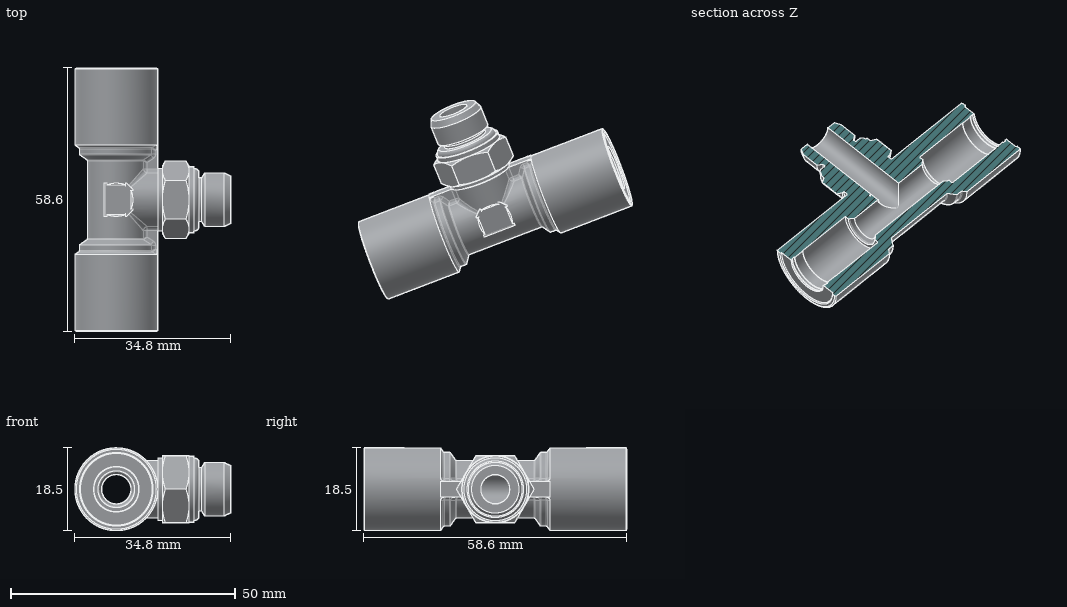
import cadquery as cq
import math

run_half_length = 29.3
tube_radius = 6.45
sleeve_radius = 9.25
sleeve_end_y = 12.2
sleeve_back_y = 11.5
sleeve_back_fillet = 0.35
collar_radius = 8.25
collar_edge_y = 10.05
collar_edge_fillet = 0.2
collar_foot_y = 8.8
collar_foot_fillet = 0.25
sleeve_rim_chamfer_length = 0.15
sleeve_rim_chamfer_width = 0.35

cap_recess_outer_radius = 8.2
cap_recess_radius = 8.0
cap_recess_depth = 0.3

run_bore_radius = 6.5 / 2
collet_radius = 5.0
collet_groove_radius = 10.3 / 2
collet_groove_start = 0.75
collet_groove_end = 1.5
collet_depth = 4.0
socket_radius = 10.15 / 2
socket_depth = 17.5
seat_mouth_radius = 8.2 / 2
seat_radius = 7.85 / 2
seat_chamfer_depth = 0.3
seat_cone_depth = 0.8

branch_radius = tube_radius
body_end_x = sleeve_radius

gusset_half_thickness = 1.75
gusset_fillet = 0.95

stud_collar_radius = 14 / 2
hex_start_x = 10.25
hex_end_x = 16.2
hex_across_flats = 15.0
hex_chamfer_angle = 30
washer_radius = 14.8 / 2
washer_end_x = 17.3
seal_radius = 7.0
seal_end_x = 18.4
seal_end_radius = 6.3
seal_round = 1.2
neck_radius = 9.8 / 2
neck_end_x = 19.0
thread_radius = 12 / 2
thread_start_x = 19.7
thread_chamfer_x = 24.0
stud_end_x = 25.5
stud_tip_radius = 10.6 / 2
branch_bore_radius = 6.45 / 2

pad_height = 6.1
pad_left_x = -2.7
pad_half_width = 3.7
pad_corner_cut = 1.4
pad_depth = 1.0
pad_edge_fillet = 0.3
pad_wall_margin = 0.4


def revolve_about_y(profile):
    """Revolve a closed (radius, y) outline about the Y axis."""
    return profile.close().revolve(360, (0, 0, 0), (0, 1, 0))


def revolve_about_x(profile):
    """Revolve a closed (x, radius) outline about the X axis."""
    return profile.close().revolve(360, (0, 0, 0), (1, 0, 0))


def both_ends(half):
    """Join a feature on the +Y half of the run with its mirror image."""
    return half.union(half.mirror("XZ"))


def round_ring(solid, y, radius, fillet_radius):
    """Fillet the circular edge of the given radius that lies around the run axis at y."""
    tolerance = 0.01
    ring = [
        edge
        for edge in solid.edges("%CIRCLE").vals()
        if abs(edge.Center().y - y) < tolerance and abs(edge.radius() - radius) < tolerance
    ]
    return solid.newObject(ring).fillet(fillet_radius)


def run_half():
    half = revolve_about_y(
        cq.Workplane("XY")
        .moveTo(0, 0)
        .lineTo(tube_radius, 0)
        .lineTo(tube_radius, collar_foot_y)
        .lineTo(collar_radius, collar_edge_y)
        .lineTo(collar_radius, sleeve_back_y)
        .lineTo(sleeve_radius, sleeve_end_y)
        .lineTo(sleeve_radius, run_half_length - sleeve_rim_chamfer_length)
        .lineTo(sleeve_radius - sleeve_rim_chamfer_width, run_half_length)
        .lineTo(0, run_half_length)
    )
    return round_ring(half, collar_edge_y, collar_radius, collar_edge_fillet)


def branch_body():
    return (
        cq.Workplane("YZ")
        .circle(branch_radius)
        .extrude(body_end_x)
    )


def gusset_web():
    return cq.Workplane("XY").box(body_end_x, sleeve_end_y, gusset_half_thickness, centered=False)


def junction_edges(solid):
    """Edges where gusset, branch, tube and sleeve meet in one quarter of the body."""
    tolerance = 1e-3
    edges = []
    for edge in solid.edges().vals():
        center = edge.Center()
        bounds = edge.BoundingBox()
        above_lower_limit = bounds.zmin > gusset_half_thickness - tolerance
        below_upper_limit = bounds.zmax < gusset_half_thickness + tolerance
        on_gusset_top = above_lower_limit and below_upper_limit
        on_end_face = bounds.xmin > body_end_x - tolerance
        on_sleeve_edge = bounds.ymin > sleeve_end_y - tolerance
        on_miter = edge.geomType() == "ELLIPSE" and abs(center.x - center.y) < tolerance
        on_gusset_rim = on_gusset_top and not on_end_face and not on_sleeve_edge
        if on_gusset_rim or on_miter:
            edges.append(edge)
    return edges


def body():
    """One quarter (+Y, +Z) is blended at its junctions, then mirrored to the full body."""
    quarter_space = cq.Workplane("XY").box(
        2 * run_half_length, run_half_length, run_half_length, centered=(True, False, False)
    )
    quarter = run_half().union(branch_body()).intersect(quarter_space).union(gusset_web())
    quarter = quarter.newObject(junction_edges(quarter)).fillet(gusset_fillet)
    quarter = round_ring(quarter, collar_foot_y, tube_radius, collar_foot_fillet)
    quarter = round_ring(quarter, sleeve_back_y, collar_radius, sleeve_back_fillet)
    return both_ends(quarter.union(quarter.mirror("XY")))


def pad_outline(height, margin=0):
    """Outline of a pad at the given height, shrunk by margin on every side."""
    left_x = pad_left_x + margin
    half_width = pad_half_width - margin
    cut_start = half_width - pad_corner_cut
    return (
        cq.Workplane("XY", origin=(0, 0, height))
        .moveTo(left_x, -half_width)
        .lineTo(cut_start, -half_width)
        .lineTo(half_width, -cut_start)
        .lineTo(half_width, cut_start)
        .lineTo(cut_start, half_width)
        .lineTo(left_x, half_width)
        .close()
    )


def add_pads(solid):
    """Raise each pad to a flat, and clear the crown of the body above it with sloped walls."""
    base = pad_outline(pad_height - pad_depth).extrude(pad_depth)
    base = base.faces(">Z").edges("<X").fillet(pad_edge_fillet)
    wall_slope = math.degrees(math.atan2(pad_wall_margin, branch_radius - pad_height))
    clearance = pad_outline(pad_height, pad_wall_margin).extrude(pad_depth, taper=-wall_slope)
    solid = solid.union(base).union(base.mirror("XY"))
    return solid.cut(clearance).cut(clearance.mirror("XY"))


def stud_hex():
    sides = 6
    flat_radius = hex_across_flats / 2
    corner_radius = flat_radius / math.cos(math.pi / sides)
    chamfer = (corner_radius - flat_radius) * math.tan(math.radians(hex_chamfer_angle))
    prism = (
        cq.Workplane("YZ", origin=(hex_start_x, 0, 0))
        .polygon(sides, 2 * corner_radius)
        .extrude(hex_end_x - hex_start_x)
    )
    envelope = revolve_about_x(
        cq.Workplane("XY")
        .moveTo(hex_start_x, 0)
        .lineTo(hex_start_x, flat_radius)
        .lineTo(hex_start_x + chamfer, corner_radius)
        .lineTo(hex_end_x - chamfer, corner_radius)
        .lineTo(hex_end_x, flat_radius)
        .lineTo(hex_end_x, 0)
    )
    return prism.intersect(envelope)


def stud_turning():
    return revolve_about_x(
        cq.Workplane("XY")
        .moveTo(body_end_x, 0)
        .lineTo(body_end_x, stud_collar_radius)
        .lineTo(hex_start_x, stud_collar_radius)
        .lineTo(hex_end_x, washer_radius)
        .lineTo(washer_end_x, washer_radius)
        .lineTo(washer_end_x, seal_radius)
        .radiusArc((seal_end_x, seal_end_radius), seal_round)
        .lineTo(seal_end_x, neck_radius)
        .lineTo(neck_end_x, neck_radius)
        .lineTo(thread_start_x, thread_radius)
        .lineTo(thread_chamfer_x, thread_radius)
        .lineTo(stud_end_x, stud_tip_radius)
        .lineTo(stud_end_x, 0)
    )


def run_bore_half():
    def y_at(depth):
        return run_half_length - depth

    return revolve_about_y(
        cq.Workplane("XY")
        .moveTo(0, 0)
        .lineTo(run_bore_radius, 0)
        .lineTo(run_bore_radius, y_at(socket_depth + seat_chamfer_depth + seat_cone_depth))
        .lineTo(seat_radius, y_at(socket_depth + seat_chamfer_depth))
        .lineTo(seat_mouth_radius, y_at(socket_depth))
        .lineTo(socket_radius, y_at(socket_depth))
        .lineTo(socket_radius, y_at(collet_depth))
        .lineTo(collet_radius, y_at(collet_depth))
        .lineTo(collet_radius, y_at(collet_groove_end))
        .lineTo(collet_groove_radius, y_at(collet_groove_end))
        .lineTo(collet_groove_radius, y_at(collet_groove_start))
        .lineTo(collet_radius, y_at(collet_groove_start))
        .lineTo(collet_radius, y_at(cap_recess_depth))
        .lineTo(cap_recess_radius, y_at(cap_recess_depth))
        .lineTo(cap_recess_outer_radius, run_half_length)
        .lineTo(0, run_half_length)
    )


def branch_bore():
    return cq.Workplane("YZ").circle(branch_bore_radius).extrude(stud_end_x)


result = (
    add_pads(body())
    .union(stud_turning())
    .union(stud_hex())
    .cut(both_ends(run_bore_half()))
    .cut(branch_bore())
)